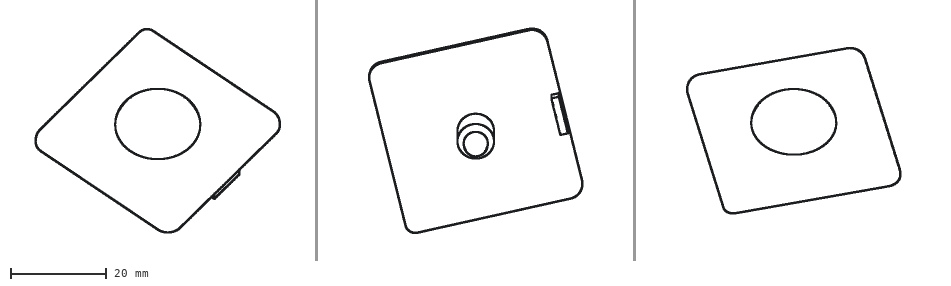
import cadquery as cq

PLATE_SIDE = 38.1
PLATE_HEIGHT = 3.12
CORNER_RADIUS = 3.28
SMALL_CORNER_RADIUS = 2.15
RIM_HEIGHT = 0.57
EDGE_RADIUS = PLATE_HEIGHT - RIM_HEIGHT

TAB_THICKNESS = 1.6
TAB_WIDTH = 8.25
TAB_DROP = 2.32
TAB_SIDE_GAP = 0.3

BUTTON_RADIUS = 8.88
BUTTON_HEIGHT = 1.6
BUTTON_FLAT_RADIUS = BUTTON_RADIUS - BUTTON_HEIGHT
STEM_RADIUS = 3.8
STEM_DROP = 6.63
TIP_RADIUS = 2.5
TAPER_HEIGHT = STEM_RADIUS - TIP_RADIUS
TOTAL_HEIGHT = 15.8
TIP_END_Z = PLATE_HEIGHT + BUTTON_HEIGHT - TOTAL_HEIGHT
TIP_CENTER_Z = TIP_END_Z + TIP_RADIUS
DIAGONAL = 0.5 ** 0.5


def make_plate():
    """Plate with rounded corners and top edge, a hole for the stem and a tab."""
    half = PLATE_SIDE / 2
    corner = half - CORNER_RADIUS
    small_corner = half - SMALL_CORNER_RADIUS
    outline = (
        cq.Workplane("XY")
        .moveTo(-corner, -half)
        .lineTo(corner, -half)
        .radiusArc((half, -corner), -CORNER_RADIUS)
        .lineTo(half, corner)
        .radiusArc((corner, half), -CORNER_RADIUS)
        .lineTo(-small_corner, half)
        .radiusArc((-half, small_corner), -SMALL_CORNER_RADIUS)
        .lineTo(-half, -corner)
        .radiusArc((-corner, -half), -CORNER_RADIUS)
        .close()
    )
    plate = outline.extrude(PLATE_HEIGHT).faces(">Z").edges().fillet(EDGE_RADIUS)
    stem_hole = cq.Workplane("XY").circle(STEM_RADIUS).extrude(PLATE_HEIGHT)
    tab = (
        cq.Workplane("XY")
        .center(half - TAB_SIDE_GAP - TAB_THICKNESS / 2, 0)
        .rect(TAB_THICKNESS, TAB_WIDTH)
        .extrude(-TAB_DROP)
    )
    return plate.cut(stem_hole).union(tab)


def make_knob():
    """Revolved button, stem, taper and ball tip; the stem fills the plate's hole."""
    button_top_z = PLATE_HEIGHT + BUTTON_HEIGHT
    button_arc_middle = (
        BUTTON_FLAT_RADIUS + BUTTON_HEIGHT * DIAGONAL,
        PLATE_HEIGHT + BUTTON_HEIGHT * DIAGONAL,
    )
    tip_arc_middle = (TIP_RADIUS * DIAGONAL, TIP_CENTER_Z - TIP_RADIUS * DIAGONAL)
    return (
        cq.Workplane("XZ")
        .moveTo(0, button_top_z)
        .lineTo(BUTTON_FLAT_RADIUS, button_top_z)
        .threePointArc(button_arc_middle, (BUTTON_RADIUS, PLATE_HEIGHT))
        .lineTo(STEM_RADIUS, PLATE_HEIGHT)
        .lineTo(STEM_RADIUS, -STEM_DROP)
        .lineTo(TIP_RADIUS, -STEM_DROP - TAPER_HEIGHT)
        .lineTo(TIP_RADIUS, TIP_CENTER_Z)
        .threePointArc(tip_arc_middle, (0, TIP_END_Z))
        .close()
        .revolve(360, (0, 0), (0, 1))
    )


plate = make_plate()
knob = make_knob()
result = cq.Compound.makeCompound([plate.val(), knob.val()])